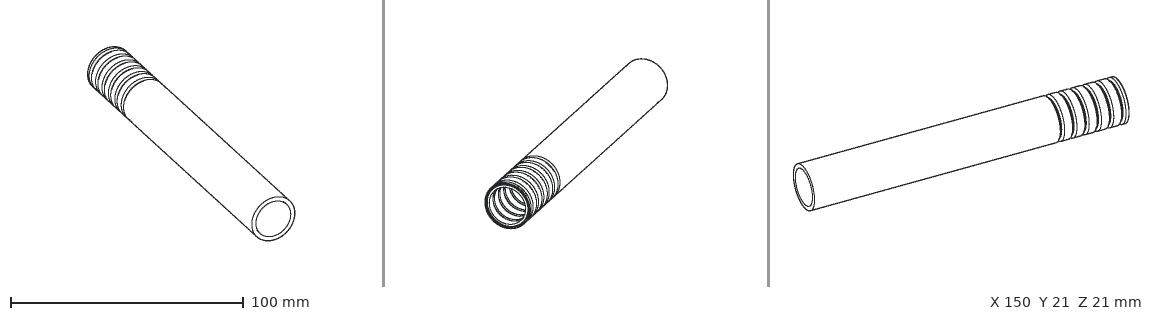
import cadquery as cq

length = 150.0
outer_diameter = 21.0
bore_diameter = 17.0
outer_radius = outer_diameter / 2
bore_radius = bore_diameter / 2

groove_pitch = 5.8
outside_groove_width = 1.8
outside_groove_count = 6
first_outside_groove_x = 2.5
outside_groove_depth = 1.2
outside_groove_floor_width = 0.5
rim_chamfer = 0.2
inside_groove_count = outside_groove_count - 1
first_inside_groove_x = 5.0
inside_groove_width = 1.5
inside_groove_depth = 0.8

face_ring_outer_diameter = 19.8
face_ring_inner_diameter = 19.2
face_ring_depth = 0.5


def revolve_about_axis(section):
    """Turn a closed section in the XY plane about the tube axis."""
    return section.close().revolve(360, (0, 0), (1, 0))


def outside_groove_cutter(center_x):
    """Ring with a tapered section and eased rims, symmetric about center_x."""
    rim = outer_radius
    shoulder = rim - rim_chamfer
    floor = rim - outside_groove_depth
    half_shoulder = outside_groove_width / 2
    half_rim = half_shoulder + rim_chamfer
    half_floor = outside_groove_floor_width / 2
    section = cq.Workplane("XY").polyline(
        [
            (center_x - half_rim, rim),
            (center_x - half_shoulder, shoulder),
            (center_x - half_floor, floor),
            (center_x + half_floor, floor),
            (center_x + half_shoulder, shoulder),
            (center_x + half_rim, rim),
        ]
    )
    return revolve_about_axis(section)


def inside_groove_cutter(center_x):
    """Ring with a rectangular section, cut outward from the bore."""
    start_x = center_x - inside_groove_width / 2
    end_x = center_x + inside_groove_width / 2
    floor_radius = bore_radius + inside_groove_depth
    section = cq.Workplane("XY").polyline(
        [(start_x, bore_radius), (start_x, floor_radius), (end_x, floor_radius), (end_x, bore_radius)]
    )
    return revolve_about_axis(section)


def face_ring_cutter():
    return (
        cq.Workplane("YZ")
        .circle(face_ring_outer_diameter / 2)
        .circle(face_ring_inner_diameter / 2)
        .extrude(face_ring_depth)
    )


result = cq.Workplane("YZ").circle(outer_radius).circle(bore_radius).extrude(length)

for index in range(outside_groove_count):
    result = result.cut(outside_groove_cutter(first_outside_groove_x + index * groove_pitch))

for index in range(inside_groove_count):
    result = result.cut(inside_groove_cutter(first_inside_groove_x + index * groove_pitch))

result = result.cut(face_ring_cutter())